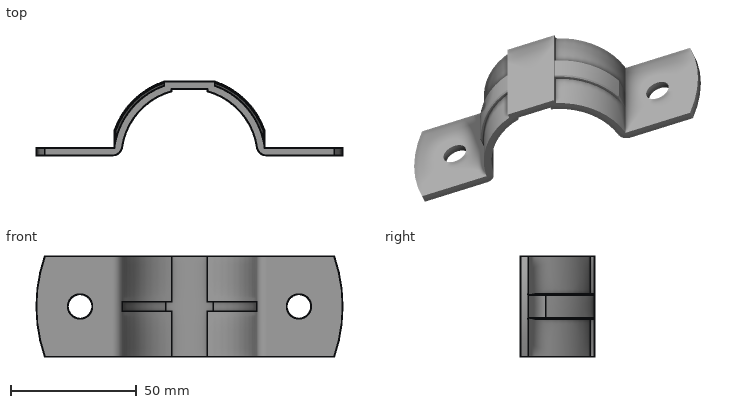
import cadquery as cq
import math

length = 121.7
height = 40.0
depth = 29.5
thickness = 3.0
end_radius = length / 2

saddle_center_y = -0.6
inner_radius = 27.0
outer_radius = inner_radius + thickness
bend_radius = 3.9
leg_top_y = 4.0
bend_rise = bend_radius - saddle_center_y
bend_center_x = math.sqrt((inner_radius + bend_radius) ** 2 - bend_rise**2)

crown_outer_half_width = 10.0
crown_inner_half_width = 7.0
crown_inner_y = depth - thickness

rib_height = 1.6
groove_depth = 1.6
groove_width = 3.9
rib_width = 10.0
rib_edge_chamfer = 0.5
rib_side_x = 29.8
groove_side_x = rib_side_x - thickness

hole_diameter = 9.6
hole_spacing = 86.9


def slab(outline, z_height):
    """Extrude an XY outline symmetrically about the mid-height plane."""
    return outline.extrude(z_height / 2, both=True)


def disc(radius, z_height):
    """Cylinder about the saddle axis."""
    return slab(cq.Workplane("XY").center(0, saddle_center_y).circle(radius), z_height)


def box(half_width, y_min, y_max, z_height):
    """Block centred on X and Z, spanning the given Y range."""
    block = cq.Workplane("XY").box(2 * half_width, y_max - y_min, z_height)
    return block.translate((0, (y_min + y_max) / 2, 0))


def make_outer_body():
    """Solid envelope of the flanges, saddle and flat crown."""
    flanges = box(length / 2, 0, thickness, height)
    saddle = disc(outer_radius, height).intersect(box(outer_radius, 0, depth, height))
    saddle = saddle.cut(box(crown_outer_half_width, crown_inner_y, outer_radius, height))
    crown = box(crown_outer_half_width, thickness, depth, height)
    return flanges.union(saddle).union(crown)


def make_legs():
    """Straight legs running tangentially from the outer saddle arc into the flanges."""
    leg_rise = leg_top_y - saddle_center_y
    top_x = math.sqrt(outer_radius**2 - leg_rise**2)
    base_x = top_x + (leg_top_y - thickness) * leg_rise / top_x
    outline = cq.Workplane("XY").polyline(
        [(-base_x, thickness), (base_x, thickness), (top_x, leg_top_y), (-top_x, leg_top_y)]
    )
    return slab(outline.close(), height)


def make_rib():
    """Raised rib with chamfered edges, bounded by the crown and upright sides."""
    rib = disc(outer_radius + rib_height, rib_width)
    rib = rib.intersect(box(rib_side_x, -depth, depth, rib_width))
    rib = rib.faces("<Z or >Z").edges().chamfer(rib_edge_chamfer)
    return rib.intersect(box(rib_side_x, 0, depth, rib_width))


def make_bore():
    """Inner void: saddle bore up to the crown, plus the groove behind the rib."""
    bore = disc(inner_radius, height)
    side_y = saddle_center_y + math.sqrt(inner_radius**2 - crown_inner_half_width**2)
    bore = bore.cut(box(crown_inner_half_width, side_y, depth, height))
    bore = bore.union(box(crown_inner_half_width, 0, crown_inner_y, height))
    groove = disc(inner_radius + groove_depth, groove_width)
    groove = groove.intersect(box(groove_side_x, -depth, crown_inner_y, groove_width))
    return bore.union(groove)


def make_bend_relief(side):
    """Corner removed to round the front bend between saddle and flange."""
    tangent_ratio = inner_radius / (inner_radius + bend_radius)
    tangent = (side * bend_center_x * tangent_ratio, saddle_center_y + bend_rise * tangent_ratio)
    arc_angle = -(math.atan2(bend_rise, bend_center_x) + math.pi / 2) / 2
    arc_middle = (
        side * (bend_center_x - bend_radius * math.cos(arc_angle)),
        bend_radius + bend_radius * math.sin(arc_angle),
    )
    outline = (
        cq.Workplane("XY")
        .moveTo(0, 0)
        .lineTo(side * bend_center_x, 0)
        .threePointArc(arc_middle, tangent)
        .close()
    )
    return slab(outline, height)


def make_end_trim():
    """Cylinder across the thickness that rounds both flange ends."""
    return cq.Workplane("XZ").circle(end_radius).extrude(depth, both=True)


def make_holes():
    return (
        cq.Workplane("XZ")
        .pushPoints([(-hole_spacing / 2, 0), (hole_spacing / 2, 0)])
        .circle(hole_diameter / 2)
        .extrude(thickness, both=True)
    )


result = make_outer_body().union(make_legs()).union(make_rib()).cut(make_bore())
for side in (-1, 1):
    result = result.cut(make_bend_relief(side))
result = result.intersect(make_end_trim()).cut(make_holes())